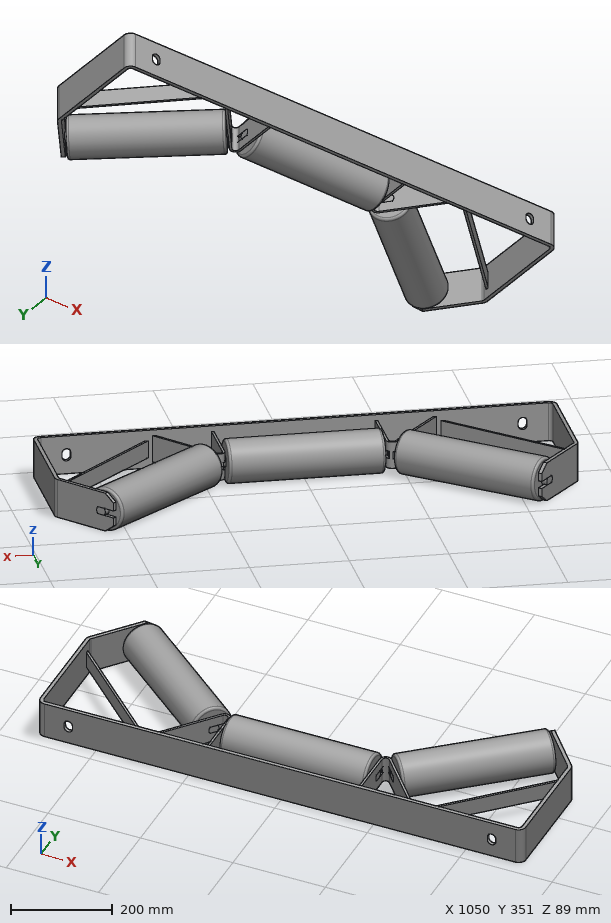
import cadquery as cq
import math

FRAME_LENGTH = 1050.0
FRAME_DEPTH = 351.0
STRAP_WIDTH = 80.0
STRAP_THICKNESS = 8.0
STRAP_BEND_RADIUS = 16.0
ARM_CORNER_RUN = 21.0
ARM_CORNER_DROP = 16.0

MOUNT_SPACING = 916.0
MOUNT_SLOT_WIDTH = 18.0
MOUNT_SLOT_HEIGHT = 25.0

TROUGH_ANGLE = 40.0
ROLLER_DIAMETER = 89.0
ROLLER_LENGTH = 315.0
ROLLER_EDGE_RADIUS = 5.0
SHAFT_DIAMETER = 22.0
SHAFT_FLAT_WIDTH = 15.0
END_GAP = 4.0
MIDDLE_ROLLER_Y = 102.0
SIDE_ROLLER_X = 320.0
SIDE_ROLLER_Y = 217.0

PLATE_THICKNESS = 5.0
BRACKET_WIDTH = 56.0
BRACKET_FOLD_RADIUS = 13.0
BRACE_WIDTH = 36.0
BRACE_LEG_Y = 222.0
BRACE_BASE_X = 297.0

HALF_LENGTH = FRAME_LENGTH / 2
SIN_TROUGH = math.sin(math.radians(TROUGH_ANGLE))
COS_TROUGH = math.cos(math.radians(TROUGH_ANGLE))
SUPPORT_OFFSET = ROLLER_LENGTH / 2 + END_GAP
SIDE_ROLLER_REACH = SIDE_ROLLER_X * COS_TROUGH + SIDE_ROLLER_Y * SIN_TROUGH
ARM_INNER_REACH = SIDE_ROLLER_REACH + SUPPORT_OFFSET
BRACKET_FACE_REACH = SIDE_ROLLER_REACH - SUPPORT_OFFSET


def polar(center, radius, angle):
    """Point at a radius and an angle in degrees from a centre."""
    turn = math.radians(angle)
    return (center[0] + radius * math.cos(turn), center[1] + radius * math.sin(turn))


def extrude_width(outline, width):
    """Close an XY outline and extrude it to a width centred on Z = 0."""
    return outline.close().extrude(width / 2, both=True)


def with_mirror(body):
    """Join a right-hand feature with its left-hand twin."""
    return body.union(body.mirror("YZ"))


def on_side_axis(body):
    """Move a body built along X about the origin onto the right-hand roller axis."""
    turned = body.rotate((0, 0, 0), (0, 0, 1), TROUGH_ANGLE)
    return turned.translate((SIDE_ROLLER_X, SIDE_ROLLER_Y, 0))


def bend_center_y(center_x, outer_face_reach, outer_radius):
    """Y of a bend centre whose outer arc is tangent to an inclined outer face."""
    return (outer_face_reach - outer_radius - center_x * COS_TROUGH) / SIN_TROUGH


def make_strap():
    outer = STRAP_BEND_RADIUS
    inner = outer - STRAP_THICKNESS
    center_x = HALF_LENGTH - outer
    corner = (center_x, outer)
    bend = (center_x, bend_center_y(center_x, ARM_INNER_REACH + STRAP_THICKNESS, outer))
    arm_start = polar(bend, outer, TROUGH_ANGLE)
    arm_length = (FRAME_DEPTH - arm_start[1]) / COS_TROUGH
    arm_angle = TROUGH_ANGLE + 90
    outer_tip = polar(arm_start, arm_length, arm_angle)
    inner_tip = polar(outer_tip, -STRAP_THICKNESS, TROUGH_ANGLE)
    outline = (
        cq.Workplane("XY")
        .lineTo(center_x, 0)
        .threePointArc(polar(corner, outer, -45), polar(corner, outer, 0))
        .lineTo(*polar(bend, outer, 0))
        .threePointArc(polar(bend, outer, TROUGH_ANGLE / 2), arm_start)
        .lineTo(*outer_tip)
        .lineTo(*inner_tip)
        .lineTo(*polar(bend, inner, TROUGH_ANGLE))
        .threePointArc(polar(bend, inner, TROUGH_ANGLE / 2), polar(bend, inner, 0))
        .lineTo(*polar(corner, inner, 0))
        .threePointArc(polar(corner, inner, -45), polar(corner, inner, -90))
        .lineTo(0, STRAP_THICKNESS)
    )
    strap = extrude_width(outline, STRAP_WIDTH)

    arm_plane = cq.Plane(
        origin=(*inner_tip, 0),
        xDir=(-SIN_TROUGH, COS_TROUGH, 0),
        normal=(COS_TROUGH, SIN_TROUGH, 0),
    )
    for edge in (STRAP_WIDTH / 2, -STRAP_WIDTH / 2):
        inset = edge - math.copysign(ARM_CORNER_DROP, edge)
        corner_cut = cq.Workplane(arm_plane).polyline([(-ARM_CORNER_RUN, edge), (0, edge), (0, inset)])
        strap = strap.cut(corner_cut.close().extrude(STRAP_THICKNESS))
    return with_mirror(strap)


def make_brackets():
    outer = BRACKET_FOLD_RADIUS
    inner = outer - PLATE_THICKNESS
    center_x = SUPPORT_OFFSET + outer
    fold = (center_x, bend_center_y(center_x, BRACKET_FACE_REACH, outer))
    middle_angle = (TROUGH_ANGLE + 180) / 2

    def slant_foot(start):
        drop = start[1] - STRAP_THICKNESS
        return (start[0] + drop * SIN_TROUGH / COS_TROUGH, STRAP_THICKNESS)

    outer_slant = polar(fold, outer, TROUGH_ANGLE)
    inner_slant = polar(fold, inner, TROUGH_ANGLE)
    outline = (
        cq.Workplane("XY")
        .moveTo(SUPPORT_OFFSET, STRAP_THICKNESS)
        .lineTo(*polar(fold, outer, 180))
        .threePointArc(polar(fold, outer, middle_angle), outer_slant)
        .lineTo(*slant_foot(outer_slant))
        .lineTo(*slant_foot(inner_slant))
        .lineTo(*inner_slant)
        .threePointArc(polar(fold, inner, middle_angle), polar(fold, inner, 180))
        .lineTo(SUPPORT_OFFSET + PLATE_THICKNESS, STRAP_THICKNESS)
    )
    return with_mirror(extrude_width(outline, BRACKET_WIDTH))


def make_braces():
    leg_x = HALF_LENGTH - STRAP_THICKNESS
    rise = BRACE_LEG_Y - STRAP_THICKNESS
    run = leg_x - BRACE_BASE_X
    slope = math.hypot(rise, run)
    half_run = PLATE_THICKNESS / 2 * slope / rise
    half_rise = PLATE_THICKNESS / 2 * slope / run
    outline = (
        cq.Workplane("XY")
        .moveTo(BRACE_BASE_X - half_run, STRAP_THICKNESS)
        .lineTo(BRACE_BASE_X + half_run, STRAP_THICKNESS)
        .lineTo(leg_x, BRACE_LEG_Y - half_rise)
        .lineTo(leg_x, BRACE_LEG_Y + half_rise)
    )
    return with_mirror(extrude_width(outline, BRACE_WIDTH))


def make_mount_slots():
    return (
        cq.Workplane("XZ")
        .pushPoints([(-MOUNT_SPACING / 2, 0), (MOUNT_SPACING / 2, 0)])
        .slot2D(MOUNT_SLOT_HEIGHT, MOUNT_SLOT_WIDTH, 90)
        .extrude(-STRAP_THICKNESS)
    )


def make_shaft_slot(plate_start, thickness):
    """Cutter for an open slot in a plate across the X axis, with its closed end round the shaft."""
    shaft = cq.Workplane("YZ", origin=(plate_start, 0, 0)).circle(SHAFT_DIAMETER / 2).extrude(thickness)
    opening = cq.Workplane("XY").box(
        thickness, FRAME_DEPTH, SHAFT_FLAT_WIDTH, centered=(False, False, True)
    ).translate((plate_start, -SHAFT_DIAMETER / 2, 0))
    tail = cq.Workplane("XY").box(
        thickness, SHAFT_DIAMETER, SHAFT_FLAT_WIDTH).translate((plate_start + thickness / 2, 0, 0))
    return shaft.intersect(tail).union(
        opening.translate((0, SHAFT_DIAMETER / 2, 0)))


def make_frame():
    frame = make_strap().union(make_brackets()).union(make_braces())
    frame = frame.cut(make_mount_slots())
    middle_slot = make_shaft_slot(SUPPORT_OFFSET, PLATE_THICKNESS).translate((0, MIDDLE_ROLLER_Y, 0))
    arm_slot = on_side_axis(make_shaft_slot(SUPPORT_OFFSET, STRAP_THICKNESS))
    bracket_slot = on_side_axis(make_shaft_slot(-SUPPORT_OFFSET - PLATE_THICKNESS, PLATE_THICKNESS))
    for slot in (middle_slot, arm_slot, bracket_slot):
        frame = frame.cut(with_mirror(slot))
    return frame


def make_roller(left_plate, right_plate):
    drum = (
        cq.Workplane("YZ", origin=(-ROLLER_LENGTH / 2, 0, 0))
        .circle(ROLLER_DIAMETER / 2)
        .extrude(ROLLER_LENGTH)
        .edges()
        .fillet(ROLLER_EDGE_RADIUS)
    )
    shaft = cq.Workplane("YZ").circle(SHAFT_DIAMETER / 2).extrude(SUPPORT_OFFSET, both=True)
    tongue_length = 2 * SUPPORT_OFFSET + left_plate + right_plate
    tongue = (
        cq.Workplane("YZ", origin=(-SUPPORT_OFFSET - left_plate, 0, 0))
        .circle(SHAFT_DIAMETER / 2)
        .extrude(tongue_length)
        .intersect(cq.Workplane("XY").box(2 * tongue_length, SHAFT_DIAMETER, SHAFT_FLAT_WIDTH))
    )
    return drum.union(shaft).union(tongue)


frame = make_frame()
middle_roller = make_roller(PLATE_THICKNESS, PLATE_THICKNESS).translate((0, MIDDLE_ROLLER_Y, 0))
right_roller = on_side_axis(make_roller(PLATE_THICKNESS, STRAP_THICKNESS))
left_roller = right_roller.mirror("YZ")

result = cq.Compound.makeCompound(
    [frame.val(), middle_roller.val(), right_roller.val(), left_roller.val()]
)